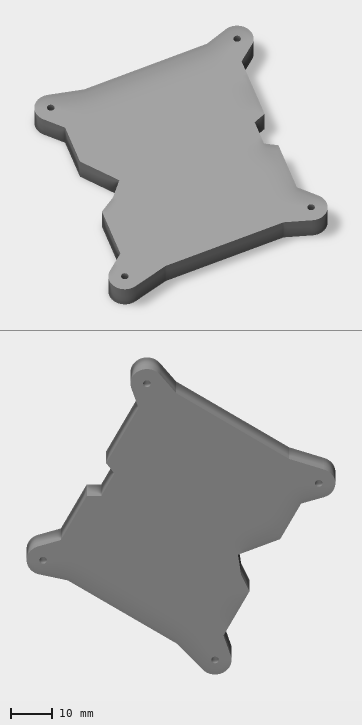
import cadquery as cq
import math

length = 68.2
width = 57.9
thickness = 6.0

lug_radius = 4.0
hole_diameter = 1.85
lean = 5.2
hole_y = width / 2 - lug_radius
back_right_x = length / 2 - lug_radius - lean
front_right_x = length / 2 - lug_radius

back_left = (-front_right_x, hole_y)
back_right = (back_right_x, hole_y)
front_right = (front_right_x, -hole_y)
front_left = (-back_right_x, -hole_y)

edge_y = 23.65
flank_reach = lug_radius * math.sqrt(2) + (hole_y - edge_y)

left_back_corner = (-31.0, 17.45)
left_front_corner = (-27.55, -15.4)
right_back_corner = (27.1, 17.05)
right_front_corner = (30.35, -14.5)

back_notch_center_x = -0.9
back_notch_width = 10.2
back_notch_floor = 6.95
back_notch_depth = 3.15

front_notch_left_x = -6.9
front_notch_apex = (1.7, -16.5)
front_notch_knee = (6.2, -19.7)
front_notch_right_x = 9.4


def tangent_angle(center, point, side):
    """Angle on a lug where the line from an outside point touches it (side is +1 or -1)."""
    dx = point[0] - center[0]
    dy = point[1] - center[1]
    return math.atan2(dy, dx) + side * math.acos(lug_radius / math.hypot(dx, dy))


def lug_point(center, angle):
    """Point on the rim of a lug at the given angle."""
    return (
        center[0] + lug_radius * math.cos(angle),
        center[1] + lug_radius * math.sin(angle),
    )


def add_lug(outline, center, entry, leaving):
    """Run clockwise round a lug, tangent to the lines from its two neighbouring corners."""
    start = tangent_angle(center, entry, -1)
    end = tangent_angle(center, leaving, 1)
    sweep = (start - end) % (2 * math.pi)
    middle = lug_point(center, start - sweep / 2)
    outline = outline.lineTo(*lug_point(center, start))
    outline = outline.threePointArc(middle, lug_point(center, end))
    return outline.lineTo(*leaving)


def plate():
    """Plate outline, followed clockwise from the left side, extruded about mid-height."""
    back_left_end = (back_left[0] + flank_reach, edge_y)
    back_right_end = (back_right[0] - flank_reach, edge_y)
    front_right_end = (front_right[0] - flank_reach, -edge_y)
    front_left_end = (front_left[0] + flank_reach, -edge_y)

    notch_floor_y = edge_y - back_notch_depth
    back_notch = [
        (back_notch_center_x - back_notch_width / 2, edge_y),
        (back_notch_center_x - back_notch_floor / 2, notch_floor_y),
        (back_notch_center_x + back_notch_floor / 2, notch_floor_y),
        (back_notch_center_x + back_notch_width / 2, edge_y),
    ]
    front_notch = [
        (front_notch_right_x, -edge_y),
        front_notch_knee,
        front_notch_apex,
        (front_notch_left_x, -edge_y),
    ]

    outline = cq.Workplane("XY").moveTo(*left_back_corner)
    outline = add_lug(outline, back_left, left_back_corner, back_left_end)
    for point in back_notch + [back_right_end]:
        outline = outline.lineTo(*point)
    outline = add_lug(outline, back_right, back_right_end, right_back_corner)
    outline = outline.lineTo(*right_front_corner)
    outline = add_lug(outline, front_right, right_front_corner, front_right_end)
    for point in front_notch + [front_left_end]:
        outline = outline.lineTo(*point)
    outline = add_lug(outline, front_left, front_left_end, left_front_corner)
    return outline.close().extrude(thickness / 2, both=True)


def lug_holes():
    """Through holes at the centres of the four lugs."""
    centers = [back_left, back_right, front_right, front_left]
    holes = cq.Workplane("XY").pushPoints(centers).circle(hole_diameter / 2)
    return holes.extrude(thickness, both=True)


result = plate().cut(lug_holes())